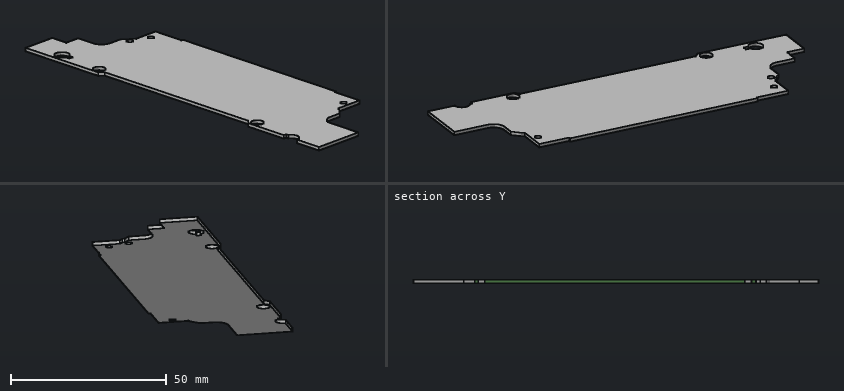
import cadquery as cq

length = 130.0
width = 40.2
thickness = 1.25

shoulder_y = 39.5
raised_left = 31.5
raised_right = 99.5
body_left = 20.0
body_right = 110.4

end_step_x = 6.2
end_step_y = 12.5
left_arm_y = 18.0
left_waist = 16.8
left_flank_bottom = 26.8
left_flank_top = 30.4
jog_x = 18.7
jog_bottom = 28.5
jog_top = 29.2

right_arm_y = 18.3
right_waist = 113.9
right_flank_bottom = 26.6
right_flank_top = 29.6
flank_kink_x = 111.4
flank_kink_y = 29.0
waist_radius = 3.9

relief_depth = 1.5
relief_slant = 1.4
relief_left = 32.2
relief_right = 98.7

mount_diameter = 4.2
mount_centers = [(30.3, 2.5), (100.4, 2.5)]
pin_diameter = 2.1
pin_centers = [(22.6, 34.6), (108.2, 34.5)]
flank_hole_diameter = 2.2
flank_hole_center = (20.0, 27.5)

keyhole_center = (12.9, 3.5)
keyhole_diameter = 5.0
keyhole_slot_end = 16.9
keyhole_slot_width = 1.5

notch_x = 117.6
notch_radius = 2.6
notch_step_left = 114.4
notch_step_height = 1.2


def make_plate():
    """Extrude the outline and round the two inner waist corners."""
    outline = [
        (0, 0),
        (relief_left, 0),
        (relief_left + relief_slant, relief_depth),
        (relief_right - relief_slant, relief_depth),
        (relief_right, 0),
        (length, 0),
        (length, right_arm_y),
        (right_waist, right_arm_y),
        (right_waist, right_flank_bottom),
        (flank_kink_x, flank_kink_y),
        (body_right, right_flank_top),
        (body_right, shoulder_y),
        (raised_right, shoulder_y),
        (raised_right, width),
        (raised_left, width),
        (raised_left, shoulder_y),
        (body_left, shoulder_y),
        (body_left, left_flank_top),
        (jog_x, jog_top),
        (jog_x, jog_bottom),
        (left_waist, left_flank_bottom),
        (left_waist, left_arm_y),
        (end_step_x, left_arm_y),
        (end_step_x, end_step_y),
        (0, end_step_y),
    ]
    plate = cq.Workplane("XY").polyline(outline).close().extrude(thickness)
    for corner in [(left_waist, left_arm_y), (right_waist, right_arm_y)]:
        nearest = cq.selectors.NearestToPointSelector((*corner, thickness / 2))
        plate = plate.edges("|Z").edges(nearest).fillet(waist_radius)
    return plate


def round_cutters(centers, diameter):
    """Cylinders through the plate at the given centers."""
    return cq.Workplane("XY").pushPoints(centers).circle(diameter / 2).extrude(thickness)


def box_cutter(left, right, bottom, top):
    """Rectangular block through the plate."""
    block = cq.Workplane("XY").box(right - left, top - bottom, thickness, centered=False)
    return block.translate((left, bottom, 0))


def keyhole_cutter():
    center_x, center_y = keyhole_center
    half_slot = keyhole_slot_width / 2
    slot = box_cutter(center_x, keyhole_slot_end, center_y - half_slot, center_y + half_slot)
    return round_cutters([keyhole_center], keyhole_diameter).union(slot)


def notch_cutter():
    step = box_cutter(notch_step_left, notch_x, 0, notch_step_height)
    return round_cutters([(notch_x, 0)], 2 * notch_radius).union(step)


result = (
    make_plate()
    .cut(round_cutters(mount_centers, mount_diameter))
    .cut(round_cutters(pin_centers, pin_diameter))
    .cut(round_cutters([flank_hole_center], flank_hole_diameter))
    .cut(keyhole_cutter())
    .cut(notch_cutter())
)